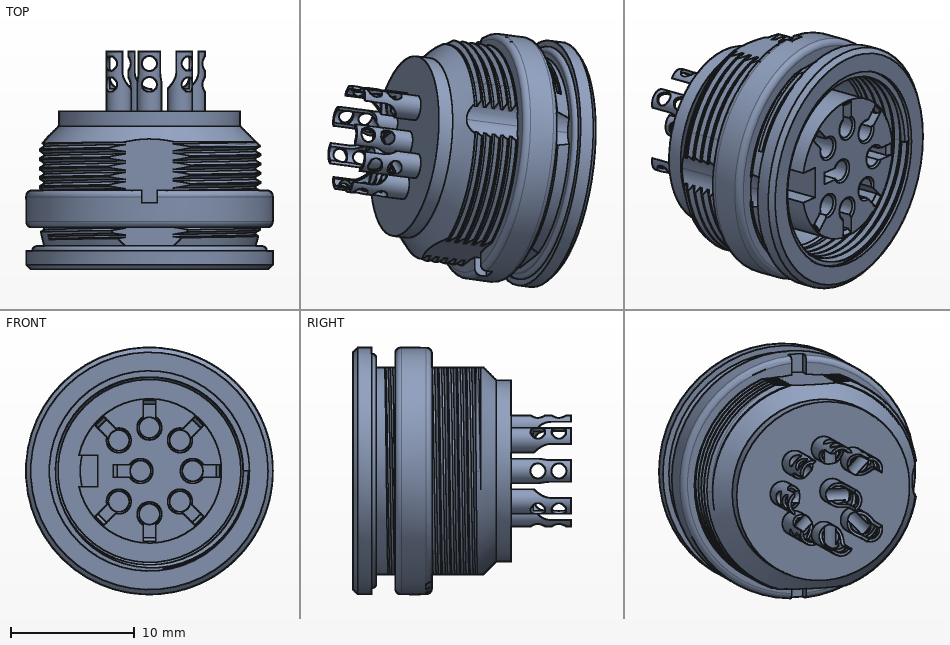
import cadquery as cq
import math


total_length = 17.65
flange_back = 1.5
lip_back = 1.9
nut_front = 3.4
nut_length = 3.0
shoulder_front = 11.6
shoulder_back = 12.8

flange_radius = 10.0
flange_chamfer = 0.4
lip_radius = 9.5
lip_round = lip_back - flange_back

thread_pitch = 0.75
barrel_radius = 9.0
barrel_root_radius = 8.6
relief_slope = math.tan(math.radians(15.0))
shoulder_radius = 7.35
flat_distance = 8.38
barrel_groove_start = 2.58
barrel_groove_start_angle = 158.0
barrel_groove_turns = 11
groove_root_width = 0.18
groove_flank_slope = math.tan(math.radians(30.0))
groove_overlap = 0.02

side_keyway_radius = 2.0
side_keyway_bottom = 8.2

nut_bore_radius = 8.5
nut_round = 0.5
nut_slot_width = 1.25
nut_slot_depth = 1.0

counterbore_radius = 8.1
counterbore_depth = 0.3
bore_thread_root_radius = 8.0
bore_thread_radius = 7.6
bore_thread_end = 4.1
bore_groove_turns = 5
bore_radius = 7.4
bore_floor = 9.0

insert_radius = 5.85
insert_face = 0.2
insert_key_bottom = 4.15
insert_key_width = 2.55
insert_key_floor = 4.0
insert_core_radius = 5.6

contact_circle_radius = 3.5
center_contact_offset = 0.72
contact_angles = [-135, -90, -45, 0, 45, 90, 135]
socket_radius = 0.85
socket_mouth_radius = 1.0
socket_depth = 4.0
socket_slot_length = 2.2
socket_slot_width = 1.0
socket_slot_depth = 2.4
socket_slot_chamfer = 0.3
cup_radius = 1.0
cup_bore_radius = 0.75
cup_floor = 14.6
cup_cut_offset = 0.45
cup_cut_straight_start = 16.0
cup_cut_round = 1.4
wire_hole_radius = 0.6
wire_hole_positions = [14.95, 16.65]


def revolve_about_axis(profile):
    return profile.close().revolve(360, (0, 0, 0), (0, 1, 0))


def cylinder(radius, start, end):
    return cq.Workplane("XZ", origin=(0, start, 0)).circle(radius).extrude(start - end)


def cone(start_radius, end_radius, start, end):
    profile = cq.Workplane("XY").moveTo(0, start).lineTo(start_radius, start)
    return revolve_about_axis(profile.lineTo(end_radius, end).lineTo(0, end))


def box_between(x_range, y_range, z_range):
    size = [high - low for low, high in (x_range, y_range, z_range)]
    corner = (x_range[0], y_range[0], z_range[0])
    return cq.Workplane("XY").box(*size, centered=False).translate(corner)


def thread_groove(root_radius, mouth_radius, start, start_angle, turns):
    """Right-handed trapezoidal groove that starts at the given angle from +X towards +Z."""
    half_root = groove_root_width / 2
    half_mouth = half_root + abs(mouth_radius - root_radius) * groove_flank_slope
    turn = cq.Wire.makeHelix(thread_pitch, thread_pitch, root_radius)
    helix = cq.Wire.combine(
        [turn.translate(cq.Vector(0, 0, step * thread_pitch)) for step in range(turns)]
    )[0]
    profile = cq.Workplane("XZ").polyline([
        (root_radius, -half_root),
        (root_radius, half_root),
        (mouth_radius, half_mouth),
        (mouth_radius, -half_mouth),
    ]).close()
    groove = profile.sweep(cq.Workplane(helix), isFrenet=True)
    groove = groove.rotate((0, 0, 0), (0, 0, 1), -start_angle)
    return groove.rotate((0, 0, 0), (1, 0, 0), -90).translate((0, start, 0))


def make_flange():
    return revolve_about_axis(
        cq.Workplane("XY")
        .lineTo(flange_radius - flange_chamfer, 0)
        .lineTo(flange_radius, flange_chamfer)
        .lineTo(flange_radius, flange_back)
        .lineTo(lip_radius, flange_back)
        .radiusArc((lip_radius - lip_round, lip_back), -lip_round)
        .lineTo(0, lip_back)
    )


def make_barrel_groove():
    mouth_radius = barrel_radius + groove_overlap
    return thread_groove(
        barrel_root_radius, mouth_radius, barrel_groove_start, barrel_groove_start_angle, barrel_groove_turns
    )


def make_taper_cutter(start_radius, end_radius, start, end):
    """Ring that leaves a cone between the two radii."""
    return cylinder(flange_radius, start, end).cut(cone(start_radius, end_radius, start, end))


def make_flat_cutter(side):
    """Block beyond the flat on the +Z side (side = 1) or the -Z side (side = -1)."""
    heights = sorted((side * flat_distance, side * flange_radius))
    return box_between((-barrel_radius, barrel_radius), (lip_back, shoulder_front), heights)


def make_side_keyway():
    keyway = cylinder(side_keyway_radius, lip_back, shoulder_front)
    return keyway.translate((-side_keyway_bottom - side_keyway_radius, 0, 0))


def make_barrel_trim():
    """Everything taken off the round barrel: the two tapers, the two flats and the side keyway."""
    relief_back = lip_back + (barrel_radius - barrel_root_radius) / relief_slope
    taper_front = shoulder_front - (barrel_radius - shoulder_radius)
    trim = make_taper_cutter(barrel_root_radius, barrel_radius, lip_back, relief_back)
    trim = trim.union(make_taper_cutter(barrel_radius, shoulder_radius, taper_front, shoulder_front))
    for side in (1, -1):
        trim = trim.union(make_flat_cutter(side))
    return trim.union(make_side_keyway())


def make_nut():
    nut_back = nut_front + nut_length
    nut = cylinder(flange_radius, nut_front, nut_back).edges().fillet(nut_round)
    nut = nut.cut(cylinder(nut_bore_radius, nut_front, nut_back))
    slot = box_between(
        (-nut_slot_width / 2, nut_slot_width / 2),
        (nut_back - nut_slot_depth, nut_back),
        (-flange_radius, flange_radius),
    )
    return nut.cut(slot)


def make_bore():
    cone_end = bore_thread_end + bore_thread_radius - bore_radius
    return revolve_about_axis(
        cq.Workplane("XY")
        .lineTo(counterbore_radius, 0)
        .lineTo(counterbore_radius, counterbore_depth)
        .lineTo(bore_thread_radius, counterbore_depth)
        .lineTo(bore_thread_radius, bore_thread_end)
        .lineTo(bore_radius, cone_end)
        .lineTo(bore_radius, bore_floor)
        .lineTo(0, bore_floor)
    )


def make_bore_groove():
    mouth_radius = bore_thread_radius - groove_overlap
    return thread_groove(bore_thread_root_radius, mouth_radius, counterbore_depth, 0, bore_groove_turns)


def make_insert():
    insert = cylinder(insert_radius, insert_face, bore_floor)
    key = box_between(
        (-insert_radius, -insert_key_bottom),
        (insert_face, bore_floor),
        (-insert_key_width / 2, insert_key_width / 2),
    )
    return insert.cut(key).union(cylinder(insert_core_radius, insert_key_floor, bore_floor))


def place_contact(shape, radius, angle):
    """Move a shape made at the axis, facing +X, to its contact position."""
    return shape.translate((radius, 0, 0)).rotate((0, 0, 0), (0, 1, 0), -angle)


def make_socket():
    mouth_depth = socket_mouth_radius - socket_radius
    socket = cylinder(socket_radius, insert_face, insert_face + socket_depth)
    mouth = cone(socket_mouth_radius, socket_radius, insert_face, insert_face + mouth_depth)
    slot_inner_end = socket_slot_length - socket_slot_chamfer
    slot = (
        cq.Workplane("XY")
        .moveTo(0, insert_face)
        .lineTo(socket_slot_length, insert_face)
        .lineTo(slot_inner_end, insert_face + socket_slot_chamfer)
        .lineTo(slot_inner_end, insert_face + socket_slot_depth)
        .lineTo(0, insert_face + socket_slot_depth)
        .close()
        .extrude(socket_slot_width / 2, both=True)
    )
    return socket.union(mouth).union(slot)


def make_solder_cup():
    cup = cylinder(cup_radius, shoulder_back, total_length)
    cup = cup.cut(cylinder(cup_bore_radius, cup_floor, total_length))
    opening = (
        cq.Workplane("XY")
        .moveTo(cup_cut_offset, total_length)
        .lineTo(cup_cut_offset, cup_cut_straight_start)
        .radiusArc((cup_cut_offset - cup_cut_round, cup_cut_straight_start - cup_cut_round), cup_cut_round)
        .lineTo(-cup_radius, cup_cut_straight_start - cup_cut_round)
        .lineTo(-cup_radius, total_length)
        .close()
        .extrude(cup_radius, both=True)
    )
    cup = cup.cut(opening)
    for position in wire_hole_positions:
        hole = cq.Workplane("YZ").center(position, 0).circle(wire_hole_radius)
        cup = cup.cut(hole.extrude(cup_radius, both=True))
    return cup


contact_places = [(contact_circle_radius, angle) for angle in contact_angles]
contact_places.append((center_contact_offset, 180))

socket = make_socket()
solder_cup = make_solder_cup()
insert = make_insert()
for radius, angle in contact_places:
    insert = insert.cut(place_contact(socket, radius, angle))

body = make_flange().union(cylinder(barrel_radius, lip_back, shoulder_front))
body = body.union(cylinder(shoulder_radius, shoulder_front, shoulder_back))
body = body.cut(make_bore()).union(insert)
for radius, angle in contact_places:
    body = body.union(place_contact(solder_cup, radius, angle))

body = body.cut(make_bore_groove(), clean=False)
body = body.cut(make_barrel_groove(), clean=False)
body = body.cut(make_barrel_trim(), clean=False)
result = body.union(make_nut(), clean=False)